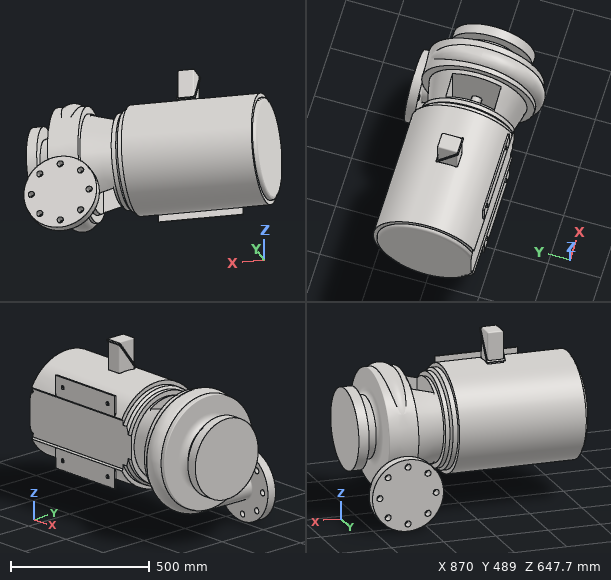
import cadquery as cq
import math


frame_radius = 203.2
frame_start = 15.875
frame_end = 501.65
bell_radius = 187.3
end_cap_rounding = 12.7
drive_bell_end = 521.0
drive_face_radius = 177.4
drive_face_start = 529.4
motor_end = 546.1

base_flat_y = -171.45
base_flat_half_width = 92.1
foot_thickness = 6.35
foot_face_y = base_flat_y - foot_thickness
foot_length = 317.5
foot_center_x = 304.0
foot_outer_z = 177.8
foot_hole_spacing = 241.3
foot_hole_z = 139.7
foot_hole_diameter = 14.3

box_length = 63.5
box_width = 76.2
box_top_z = 320.675
box_center_x = foot_center_x
box_rounding = 6.35
box_rim_thickness = 5.1
box_rim_overhang = 3.175
box_rim_front_z = 311.5
box_rim_back_z = 208.5

bracket_small_radius = 158.2
bracket_large_radius = 184.6
window_start = 560.3
window_end = 645.5
window_half_width = 91.6

casing_start = 661.0
casing_end = 774.5
casing_back_radius = 212.7
casing_front_radius = 217.5
casing_edge_rounding = 3.2
volute_x = 716.75

suction_flange_start = 830.6
pump_end = 869.95
suction_flange_radius = 154.0
nozzle_root_radius = 148.0
nozzle_flare_middle = (779.0, 129.5)
nozzle_neck_x = 790.5
nozzle_neck_radius = 117.0
nozzle_end_radius = 105.5

tube_radius = 50.8
discharge_z = -190.5
volute_arc_radius = 184.15
volute_tail_radius = 155.0
discharge_face_y = 254.0
discharge_flange_thickness = 38.1
discharge_flange_radius = 136.525
discharge_bolt_circle_radius = 107.95
discharge_bolt_count = 8
discharge_bolt_hole_diameter = 22.2
discharge_neck_fillet = 6.35

shaft_radius = 19.05


def revolve_about_shaft(profile):
    """Revolve a closed (X, radius) profile about the X axis."""
    return profile.revolve(360, (0, 0, 0), (1, 0, 0))


def make_motor_shell():
    cap_inner_radius = bell_radius - end_cap_rounding
    rounding_offset = end_cap_rounding * (1 - math.sqrt(0.5))
    profile = (
        cq.Workplane("XY")
        .moveTo(0, 0)
        .lineTo(0, cap_inner_radius)
        .threePointArc((rounding_offset, bell_radius - rounding_offset), (end_cap_rounding, bell_radius))
        .lineTo(frame_start, bell_radius)
        .lineTo(frame_start, frame_radius)
        .lineTo(frame_end, frame_radius)
        .lineTo(frame_end, bell_radius)
        .lineTo(drive_bell_end, bell_radius)
        .lineTo(drive_face_start, drive_face_radius)
        .lineTo(motor_end, drive_face_radius)
        .lineTo(motor_end, 0)
        .close()
    )
    return revolve_about_shaft(profile)


def make_base_cut():
    """Channel with 45-degree sides that leaves the base flat along the motor."""
    depth = frame_radius + base_flat_y
    outer_half_width = base_flat_half_width + depth
    return (
        cq.Workplane("YZ")
        .polyline([
            (base_flat_y, -base_flat_half_width),
            (base_flat_y, base_flat_half_width),
            (-frame_radius, outer_half_width),
            (-frame_radius, -outer_half_width),
        ])
        .close()
        .extrude(motor_end)
    )


def make_foot(side):
    """Mounting plate on the +Z (side = 1) or -Z (side = -1) edge of the flat."""
    inner_z = math.sqrt(frame_radius**2 - foot_face_y**2)
    height = foot_outer_z - inner_z
    plate = cq.Workplane("XY").box(foot_length, foot_thickness, height).translate(
        (foot_center_x, base_flat_y - foot_thickness / 2, side * (inner_z + height / 2))
    )
    holes = (
        cq.Workplane("XZ", origin=(foot_center_x, base_flat_y, side * foot_hole_z))
        .rarray(foot_hole_spacing, 1, 2, 1)
        .circle(foot_hole_diameter / 2)
        .extrude(foot_thickness)
    )
    return plate.cut(holes)


def make_terminal_box():
    return (
        cq.Workplane("XY")
        .center(box_center_x, 0)
        .rect(box_length, box_width)
        .extrude(box_top_z)
        .edges("|Z or >Z")
        .fillet(box_rounding)
    )


def make_terminal_box_rim():
    """Rim on the plane falling from the top of the -Y wall to the foot of the +Y wall."""
    rim_drop = box_rim_front_z - box_rim_back_z
    slope_length = math.hypot(box_width, rim_drop)
    slope_angle = math.degrees(math.atan2(rim_drop, box_width))
    return (
        cq.Workplane("XY")
        .box(
            box_length + 2 * box_rim_overhang,
            slope_length + 2 * box_rim_overhang,
            box_rim_thickness,
        )
        .rotate((0, 0, 0), (1, 0, 0), -slope_angle)
        .translate((box_center_x, 0, box_rim_back_z + rim_drop / 2))
    )


def make_motor():
    motor = make_motor_shell().cut(make_base_cut())
    motor = motor.union(make_terminal_box()).union(make_terminal_box_rim())
    for side in (1, -1):
        motor = motor.union(make_foot(side))
    return motor


def make_pump_core():
    """Bracket cone, casing discs, suction nozzle and suction flange."""
    profile = (
        cq.Workplane("XY")
        .moveTo(motor_end, 0)
        .lineTo(motor_end, bracket_small_radius)
        .lineTo(casing_start, bracket_large_radius)
        .lineTo(casing_start, casing_back_radius)
        .lineTo(casing_end - casing_edge_rounding, casing_front_radius)
        .radiusArc((casing_end, casing_front_radius - casing_edge_rounding), casing_edge_rounding)
        .lineTo(casing_end, nozzle_root_radius)
        .threePointArc(nozzle_flare_middle, (nozzle_neck_x, nozzle_neck_radius))
        .lineTo(suction_flange_start, nozzle_end_radius)
        .lineTo(suction_flange_start, suction_flange_radius)
        .lineTo(pump_end, suction_flange_radius)
        .lineTo(pump_end, 0)
        .close()
    )
    return revolve_about_shaft(profile)


def make_bracket_window():
    """Opening through the bracket along Z."""
    return cq.Workplane("XY").box(
        window_end - window_start, 2 * window_half_width, 2 * bracket_large_radius
    ).translate(((window_start + window_end) / 2, 0, 0))


def make_volute_turn(arc_radius, arc_center_z, start_z, angle):
    """Bend a tube about an X-parallel axis, starting in the plane Y = 0 at the height start_z."""
    return (
        cq.Workplane("XZ")
        .center(volute_x, start_z)
        .circle(tube_radius)
        .revolve(angle, (0, arc_center_z - start_z, 0), (-1, arc_center_z - start_z, 0))
    )


def make_discharge():
    """Straight tube with a filleted neck and a drilled flange, leaving towards +Y."""
    flange_back_y = discharge_face_y - discharge_flange_thickness
    neck_start = flange_back_y - discharge_neck_fillet
    neck_radius = tube_radius + discharge_neck_fillet
    profile = (
        cq.Workplane("XY", origin=(volute_x, 0, discharge_z))
        .moveTo(0, 0)
        .lineTo(tube_radius, 0)
        .lineTo(tube_radius, neck_start)
        .radiusArc((neck_radius, flange_back_y), discharge_neck_fillet)
        .lineTo(discharge_flange_radius, flange_back_y)
        .lineTo(discharge_flange_radius, discharge_face_y)
        .lineTo(0, discharge_face_y)
        .close()
    )
    bolt_holes = (
        cq.Workplane("XZ", origin=(volute_x, discharge_face_y, discharge_z))
        .polarArray(discharge_bolt_circle_radius, 0, 360, discharge_bolt_count)
        .circle(discharge_bolt_hole_diameter / 2)
        .extrude(discharge_flange_thickness)
    )
    return profile.revolve(360, (0, 0, 0), (0, 1, 0)).cut(bolt_holes)


def make_pump():
    half_turn_center_z = discharge_z + volute_arc_radius
    half_turn_top_z = half_turn_center_z + volute_arc_radius
    tail_center_z = half_turn_top_z - volute_tail_radius
    half_turn = make_volute_turn(volute_arc_radius, half_turn_center_z, discharge_z, 180)
    tail = make_volute_turn(volute_tail_radius, tail_center_z, half_turn_top_z, 90)
    core = make_pump_core().cut(make_bracket_window())
    return core.union(half_turn).union(tail).union(make_discharge())


def make_shaft():
    """Shaft length spanning the bracket window."""
    length = window_end - window_start
    return cq.Workplane("YZ", origin=(window_start, 0, 0)).circle(shaft_radius).extrude(length)


motor = make_motor()
pump = make_pump()
shaft = make_shaft()

result = cq.Compound.makeCompound([motor.val(), pump.val(), shaft.val()])